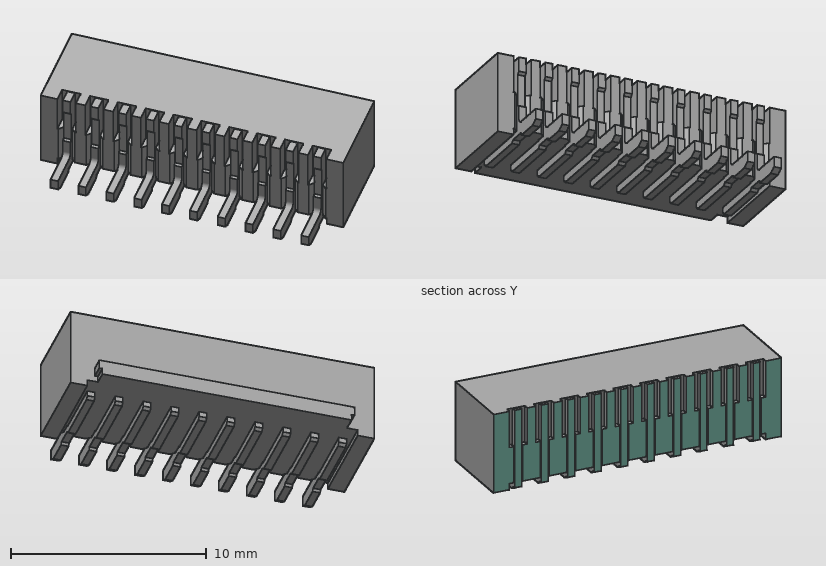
import cadquery as cq


body_length = 16.3
body_depth = 5.0
body_height = 4.42
end_wall = 0.9
recess_height = 0.35

tongue_length = 13.7
tongue_reach = 0.75
tongue_top = 1.17
tongue_step_height = 0.68
tongue_step_inset = 0.16

pin_count = 10
pitch = 1.5
slot_width = 1.0
slot_depth = 0.77
slot_floor = 2.4
narrow_slot_width = 0.47
flare_width = 0.9
flare_depth = (flare_width - narrow_slot_width) / 2

pin_width = 0.4
pin_front = 0.0
pin_top_chamfer = 0.05
pin_relief = 0.13
waist_top = 3.47
waist_top_slope = 0.15
waist_bottom = 1.75
waist_bottom_slope = 0.08
bend_radius = 0.25
foot_reach = 1.99
foot_top = 0.68
pad_drop = 0.1
pin_underside = 0.05
toe_length = 0.39
toe_height = 0.21
heel_front = -0.23
heel_back = -0.31
rear_pad_front = 0.68
rear_pad_back = 4.08
rear_pad_slope = pin_underside + pad_drop

pin_positions = [(i - (pin_count - 1) / 2) * pitch for i in range(pin_count)]


def block(x_size, y_range, z_range):
    """Box centred on x = 0 that spans the given y and z ranges."""
    y_low, y_high = y_range
    z_low, z_high = z_range
    return (
        cq.Workplane("XY")
        .box(x_size, y_high - y_low, z_high - z_low, centered=(True, False, False))
        .translate((0, y_low, z_low))
    )


def make_housing():
    body = block(body_length, (0, body_depth), (0, body_height))
    recess = block(body_length - 2 * end_wall, (0, body_depth), (0, recess_height))
    tongue_span = (body_depth, body_depth + tongue_reach)
    upper_tongue = block(tongue_length, tongue_span, (tongue_step_height, tongue_top))
    lower_tongue = block(
        tongue_length - 2 * tongue_step_inset, tongue_span, (recess_height, tongue_step_height)
    )
    return body.cut(recess).union(upper_tongue).union(lower_tongue)


def make_slot():
    """Wide upper slot above a narrow slot with a flared mouth."""
    wide_slot = block(slot_width, (0, slot_depth), (slot_floor, body_height))
    narrow_slot = (
        cq.Workplane("XY")
        .moveTo(-flare_width / 2, 0)
        .lineTo(-narrow_slot_width / 2, flare_depth)
        .lineTo(-narrow_slot_width / 2, slot_depth)
        .lineTo(narrow_slot_width / 2, slot_depth)
        .lineTo(narrow_slot_width / 2, flare_depth)
        .lineTo(flare_width / 2, 0)
        .close()
        .extrude(slot_floor)
    )
    return wide_slot.union(narrow_slot)


def make_pin():
    """Upright, foot and rear bar under the body, extruded from one side profile."""
    waist_front = pin_front + pin_relief
    return (
        cq.Workplane("YZ")
        .moveTo(pin_front, body_height)
        .lineTo(pin_front, waist_top + waist_top_slope)
        .lineTo(waist_front, waist_top)
        .lineTo(waist_front, waist_bottom)
        .lineTo(pin_front, waist_bottom - waist_bottom_slope)
        .lineTo(pin_front, foot_top + bend_radius)
        .radiusArc((pin_front - bend_radius, foot_top), bend_radius)
        .lineTo(-foot_reach, foot_top)
        .lineTo(-foot_reach, toe_height - pad_drop)
        .lineTo(toe_length - foot_reach, -pad_drop)
        .lineTo(heel_back, -pad_drop)
        .lineTo(heel_front, pin_underside)
        .lineTo(rear_pad_front, pin_underside)
        .lineTo(rear_pad_front + rear_pad_slope, -pad_drop)
        .lineTo(rear_pad_back - rear_pad_slope, -pad_drop)
        .lineTo(rear_pad_back, pin_underside)
        .lineTo(rear_pad_back, foot_top)
        .lineTo(slot_depth, foot_top)
        .lineTo(slot_depth, body_height - pin_top_chamfer)
        .lineTo(slot_depth - pin_top_chamfer, body_height)
        .close()
        .extrude(pin_width / 2, both=True)
    )


slot = make_slot()
pin = make_pin()

result = make_housing()
for x in pin_positions:
    result = result.cut(slot.translate((x, 0, 0)))
for x in pin_positions:
    result = result.union(pin.translate((x, 0, 0)))